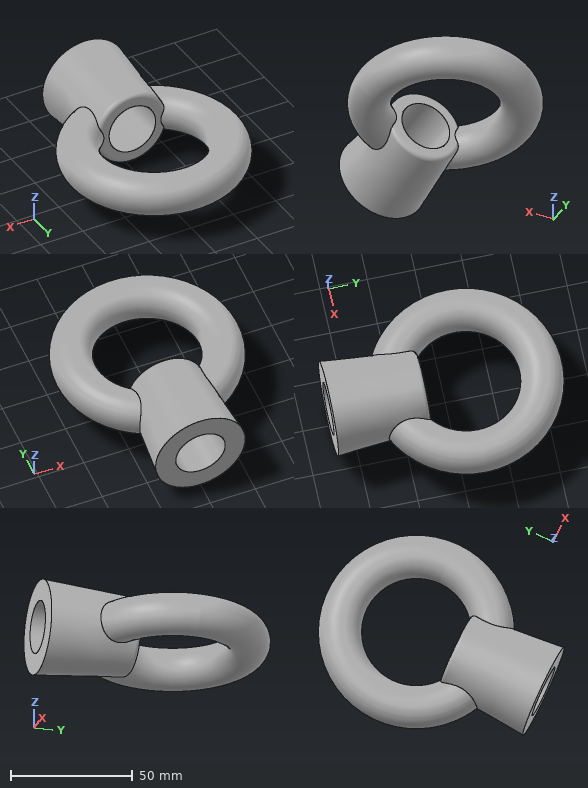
import cadquery as cq

RING_OUTER_DIAMETER = 81.0
BAR_DIAMETER = 18.0
RING_RADIUS = (RING_OUTER_DIAMETER - BAR_DIAMETER) / 2

OVERALL_LENGTH = 98.5
SOCKET_LENGTH = 40.0
SOCKET_BASE_DIAMETER = 40.0
SOCKET_TIP_DIAMETER = 33.0
TIP_FILLET = 2.0
BORE_DIAMETER = 22.0

BASE_Y = RING_OUTER_DIAMETER / 2 - OVERALL_LENGTH
TIP_Y = BASE_Y + SOCKET_LENGTH


def make_ring():
    """Full round-bar ring around the Z axis."""
    return cq.Workplane("XY").add(cq.Solid.makeTorus(RING_RADIUS, BAR_DIAMETER / 2))


def make_socket():
    """Solid tapered sleeve body with a rounded edge at its narrow end."""
    outline = (
        cq.Workplane("XY")
        .moveTo(0, BASE_Y)
        .lineTo(SOCKET_BASE_DIAMETER / 2, BASE_Y)
        .lineTo(SOCKET_TIP_DIAMETER / 2, TIP_Y)
        .lineTo(0, TIP_Y)
        .close()
    )
    cone = outline.revolve(360, (0, 0, 0), (0, 1, 0))
    return cone.faces(">Y").edges().fillet(TIP_FILLET)


def make_bore():
    """Cylinder through the whole socket, which also clears the bar inside it."""
    axis_start = cq.Vector(0, BASE_Y, 0)
    axis_direction = cq.Vector(0, 1, 0)
    bore = cq.Solid.makeCylinder(BORE_DIAMETER / 2, SOCKET_LENGTH, axis_start, axis_direction)
    return cq.Workplane("XY").add(bore)


result = make_ring().union(make_socket()).cut(make_bore())